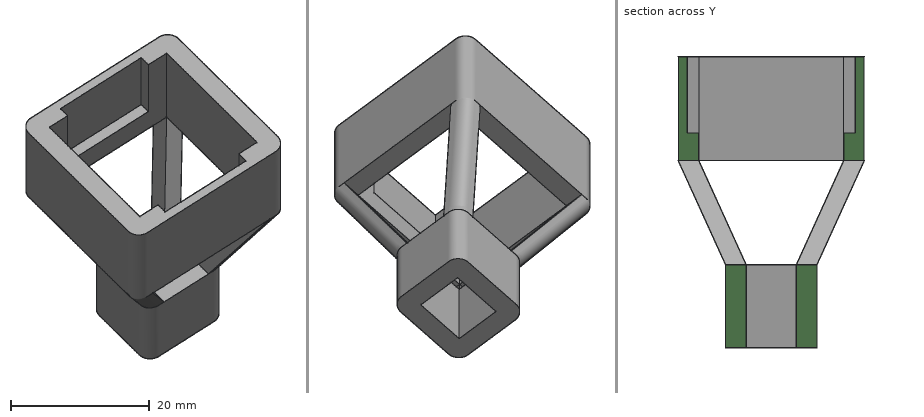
import cadquery as cq

WALL = 3.0
CORNER_RADIUS = 2.0

UPPER_X = 26.85
UPPER_Y = 27.65
UPPER_HEIGHT = 15.0

LOWER_X = 13.2
LOWER_Y = 14.2
LOWER_HEIGHT = 12.0
LOWER_CENTER_Y = 0.825

STRUT_HEIGHT = 15.0
UPPER_BASE_Z = LOWER_HEIGHT + STRUT_HEIGHT

RECESS_DEPTH = 1.65
RECESS_WIDTH = 14.9
RECESS_HEIGHT = 11.0


def socket(size_x, size_y, height, center_y, base_z):
    """Open rectangular tube with sharp corners."""
    base = cq.Workplane("XY").workplane(offset=base_z).center(0, center_y)
    outer = base.rect(size_x, size_y).extrude(height)
    bore = base.rect(size_x - 2 * WALL, size_y - 2 * WALL).extrude(height)
    return outer.cut(bore)


def lower_corner(side_x, side_y):
    """Outer corner of the lower socket at the foot of a strut."""
    return side_x * LOWER_X / 2, LOWER_CENTER_Y + side_y * LOWER_Y / 2


def upper_corner(side_x, side_y):
    """Outer corner of the upper socket at the head of a strut."""
    return side_x * UPPER_X / 2, side_y * UPPER_Y / 2


def strut(side_x, side_y):
    """Slanted square bar between two matching corners."""
    lower_x, lower_y = lower_corner(side_x, side_y)
    upper_x, upper_y = upper_corner(side_x, side_y)
    foot_center = (lower_x - side_x * WALL / 2, lower_y - side_y * WALL / 2, LOWER_HEIGHT)
    return (
        cq.Workplane("XY", origin=foot_center)
        .rect(WALL, WALL)
        .workplane(offset=STRUT_HEIGHT)
        .center(upper_x - lower_x, upper_y - lower_y)
        .rect(WALL, WALL)
        .loft(ruled=True)
    )


def corner_edges(side_x, side_y):
    """Selector for the outer corner line: lower socket, strut, then upper socket."""
    lower_x, lower_y = lower_corner(side_x, side_y)
    upper_x, upper_y = upper_corner(side_x, side_y)
    nearest = cq.selectors.NearestToPointSelector
    lower_edge = nearest((lower_x, lower_y, LOWER_HEIGHT / 2))
    strut_edge = nearest(((lower_x + upper_x) / 2, (lower_y + upper_y) / 2, LOWER_HEIGHT + STRUT_HEIGHT / 2))
    upper_edge = nearest((upper_x, upper_y, UPPER_BASE_Z + UPPER_HEIGHT / 2))
    return lower_edge + strut_edge + upper_edge


def side_recesses():
    """One bar across the upper socket that cuts both facing recesses."""
    span = UPPER_X - 2 * WALL + 2 * RECESS_DEPTH
    floor_z = UPPER_BASE_Z + UPPER_HEIGHT - RECESS_HEIGHT
    return cq.Workplane("XY").workplane(offset=floor_z).rect(span, RECESS_WIDTH).extrude(RECESS_HEIGHT)


lower_socket = socket(LOWER_X, LOWER_Y, LOWER_HEIGHT, LOWER_CENTER_Y, 0)
upper_socket = socket(UPPER_X, UPPER_Y, UPPER_HEIGHT, 0, UPPER_BASE_Z).cut(side_recesses())

corners = [(side_x, side_y) for side_x in (-1, 1) for side_y in (-1, 1)]

result = lower_socket.union(upper_socket)
for corner in corners:
    result = result.union(strut(*corner))

for corner in corners:
    result = result.edges(corner_edges(*corner)).fillet(CORNER_RADIUS)